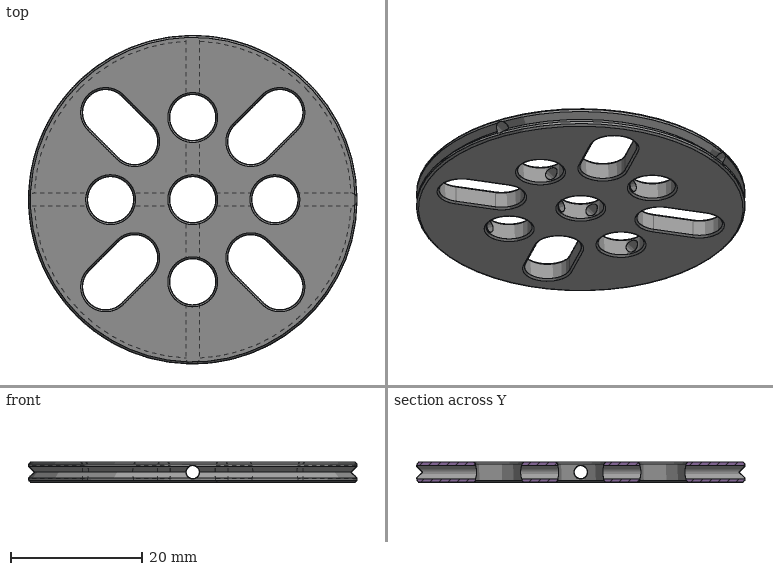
import cadquery as cq
import math

disc_diameter = 50.0
thickness = 3.1
edge_chamfer = 0.3

groove_width = 1.75

hole_diameter = 7.0
hole_pitch_radius = 12.5
slot_inner_radius = 12.5
slot_outer_radius = 18.75
cross_hole_diameter = 2.0
bore_seam_angle = 45.0

disc_radius = disc_diameter / 2
half_thickness = thickness / 2
groove_depth = groove_width / 2
bore_half_length = disc_diameter
slot_mid_radius = (slot_inner_radius + slot_outer_radius) / 2
slot_length = slot_outer_radius - slot_inner_radius + hole_diameter


def polar_point(radius, angle):
    """Point in the disc plane at a radius and an angle in degrees."""
    return (radius * math.cos(math.radians(angle)), radius * math.sin(math.radians(angle)))


def make_disc():
    """Disc centred on the origin, with a V-groove around the rim at mid thickness."""
    return (
        cq.Workplane("XZ")
        .moveTo(0, -half_thickness)
        .lineTo(disc_radius, -half_thickness)
        .lineTo(disc_radius, -groove_depth)
        .lineTo(disc_radius - groove_depth, 0)
        .lineTo(disc_radius, groove_depth)
        .lineTo(disc_radius, half_thickness)
        .lineTo(0, half_thickness)
        .close()
        .revolve(360, (0, 0, 0), (0, 1, 0))
    )


def cut_openings(disc):
    """Centre hole, four holes on the axes and four radial slots on the diagonals."""
    bottom = cq.Workplane("XY").workplane(offset=-half_thickness)
    hole_centres = [(0, 0)] + [polar_point(hole_pitch_radius, angle) for angle in range(0, 360, 90)]
    disc = disc.cut(bottom.pushPoints(hole_centres).circle(hole_diameter / 2).extrude(thickness))
    for angle in range(45, 360, 90):
        slot = (
            bottom.center(*polar_point(slot_mid_radius, angle))
            .slot2D(slot_length, hole_diameter, angle)
            .extrude(thickness)
        )
        disc = disc.cut(slot)
    return disc


def cut_cross_holes(disc):
    """Two perpendicular bores along X and Y, right through the disc at mid thickness."""
    for plane, axis in (("YZ", (1, 0, 0)), ("XZ", (0, 1, 0))):
        bore = (
            cq.Workplane(plane)
            .workplane(offset=-bore_half_length)
            .circle(cross_hole_diameter / 2)
            .extrude(2 * bore_half_length)
            .rotate((0, 0, 0), axis, bore_seam_angle)
        )
        disc = disc.cut(bore)
    return disc


result = cut_openings(make_disc())
result = result.faces("<Z or >Z").edges().chamfer(edge_chamfer)
result = cut_cross_holes(result)